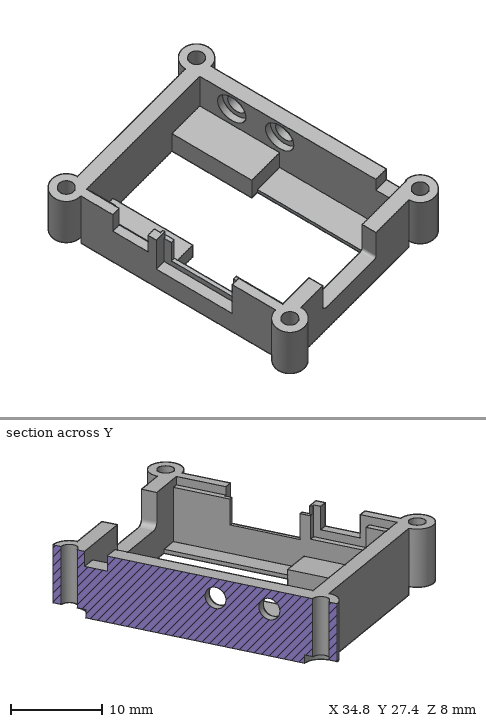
import cadquery as cq

wall = 1.9
cavity_x = 27.0
cavity_y = 19.6
height = 8.0
outer_x = cavity_x + 2 * wall
outer_y = cavity_y + 2 * wall
cavity_left = -cavity_x / 2
cavity_right = cavity_x / 2
cavity_front = -cavity_y / 2
cavity_back = cavity_y / 2
outer_front = -outer_y / 2
outer_back = outer_y / 2
outer_right = outer_x / 2

boss_diameter = 4.0
boss_hole = 1.95
boss_bottom = 1.0

block_end_x = -2.5
back_block_depth = 5.0
back_block_height = 3.0
front_block_depth = 4.0
front_block_height = 2.0
back_strip_depth = 4.0
front_strip_depth = 2.3
strip_height = 0.5

jack_x = (-9.1, -2.5)
jack_z = 5.65
jack_hole = 2.5
jack_counterbore = 3.9
jack_counterbore_depth = 0.9

rim_z = 7.0
rim_recess_depth = 0.75
post_recess_depth = 0.35
switch_left = -9.0
switch_right = -4.15
switch_floor = 5.2
switch_pocket_left = -10.1
switch_pocket_right = -3.3
switch_pocket_floor = 4.2
socket_left = -3.0
socket_right = 7.45
socket_floor = 3.1
socket_depth = 1.4
socket_lip_left = 1.0
socket_lip_right = 0.9
socket_lip_bottom = 0.8

corner_notch_left = 10.75
corner_notch_floor = 6.2

side_notch_front = -5.8
side_notch_back = 3.77
side_notch_floor = 3.7
side_notch_front_radius = 0.75
side_notch_back_radius = 0.4


def box(x0, x1, y0, y1, z0, z1):
    """Axis-aligned block between the given limits."""
    return cq.Workplane("XY").box(x1 - x0, y1 - y0, z1 - z0, centered=False).translate((x0, y0, z0))


def at_corners(z):
    """Workplane at height z with a point on each outer corner of the frame."""
    return cq.Workplane("XY").workplane(offset=z).rect(outer_x, outer_y, forConstruction=True).vertices()


def frame():
    """Four walls with a boss on each corner, cleared below the bosses."""
    walls = cq.Workplane("XY").rect(outer_x, outer_y).rect(cavity_x, cavity_y).extrude(height)
    corner_clearance = at_corners(0).circle(boss_diameter / 2).extrude(boss_bottom)
    bosses = at_corners(boss_bottom).circle(boss_diameter / 2).extrude(height - boss_bottom)
    screw_holes = at_corners(0).circle(boss_hole / 2).extrude(height)
    return walls.cut(corner_clearance).union(bosses).cut(screw_holes)


def ledges():
    """Tall blocks on the left and thin strips on the right of the cavity."""
    back_block = box(
        cavity_left, block_end_x, cavity_back - back_block_depth, cavity_back, 0, back_block_height
    )
    front_block = box(
        cavity_left, block_end_x, cavity_front, cavity_front + front_block_depth, 0, front_block_height
    )
    back_strip = box(
        block_end_x, cavity_right, cavity_back - back_strip_depth, cavity_back, 0, strip_height
    )
    front_strip = box(
        block_end_x, cavity_right, cavity_front, cavity_front + front_strip_depth, 0, strip_height
    )
    return back_block.union(front_block).union(back_strip).union(front_strip)


def jack_holes():
    """Holes through the back wall, counterbored from the cavity side."""
    centers = [(x, jack_z) for x in jack_x]
    hole_centers = cq.Workplane("XZ", origin=(0, cavity_back, 0)).pushPoints(centers)
    holes = hole_centers.circle(jack_hole / 2).extrude(-wall)
    counterbores = hole_centers.circle(jack_counterbore / 2).extrude(-jack_counterbore_depth)
    return holes.union(counterbores)


def front_rim_recess():
    """Step along the inner top edge of the front wall, shallower behind the socket."""
    recess_front = cavity_front - rim_recess_depth
    socket_back = outer_front + socket_depth
    left = box(cavity_left, switch_pocket_right, recess_front, cavity_front, rim_z, height)
    post_back = cavity_front - post_recess_depth
    behind_post = box(switch_pocket_right, socket_left, post_back, cavity_front, rim_z, height)
    middle = box(socket_left, socket_right, socket_back, cavity_front, rim_z, height)
    right = box(socket_right, cavity_right, recess_front, cavity_front, rim_z, height)
    return left.union(behind_post).union(middle).union(right)


def switch_opening():
    """Notch through the front wall with a wider, deeper pocket on its inside."""
    pocket_front = cavity_front - rim_recess_depth
    notch = box(switch_left, switch_right, outer_front, cavity_front, switch_floor, height)
    pocket = box(
        switch_pocket_left, switch_pocket_right, pocket_front, cavity_front, switch_pocket_floor, height
    )
    return notch.union(pocket)


def socket_opening():
    """Wide recess in the front wall with a smaller opening through the lip behind it."""
    recess = box(socket_left, socket_right, outer_front, outer_front + socket_depth, socket_floor, height)
    opening = box(
        socket_left + socket_lip_left,
        socket_right - socket_lip_right,
        outer_front,
        cavity_front,
        socket_floor + socket_lip_bottom,
        height,
    )
    return recess.union(opening)


def corner_notch():
    """Notch at the right end of the back wall."""
    return box(corner_notch_left, cavity_right, cavity_back, outer_back, corner_notch_floor, height)


def side_notch():
    """Notch through the right wall with rounded bottom corners."""
    notch = box(cavity_right, outer_right, side_notch_front, side_notch_back, side_notch_floor, height)
    notch = notch.edges("|X and <Z and <Y").fillet(side_notch_front_radius)
    return notch.edges("|X and <Z and >Y").fillet(side_notch_back_radius)


result = (
    frame()
    .union(ledges())
    .cut(jack_holes())
    .cut(front_rim_recess())
    .cut(switch_opening())
    .cut(socket_opening())
    .cut(corner_notch())
    .cut(side_notch())
)